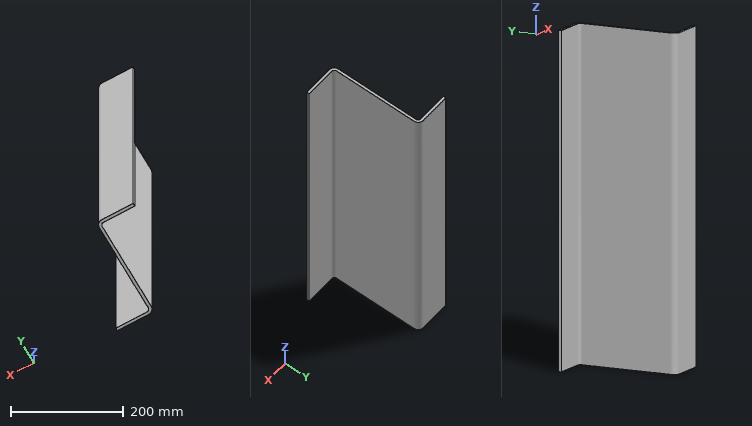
import cadquery as cq

length = 622.0
width = 146.0
depth = 201.0
thickness = 6.0
inner_radius = thickness

outer_radius = inner_radius + thickness
half_width = width / 2
half_depth = depth / 2
half_thickness = thickness / 2

profile = [
    (-half_width, half_depth),
    (half_thickness, half_depth),
    (half_thickness, -half_depth + thickness),
    (half_width, -half_depth + thickness),
    (half_width, -half_depth),
    (-half_thickness, -half_depth),
    (-half_thickness, half_depth - thickness),
    (-half_width, half_depth - thickness),
]
sheet = cq.Workplane("XY").polyline(profile).close().extrude(length)


outer_corners = [(half_thickness, half_depth), (-half_thickness, -half_depth)]
inner_corners = [
    (half_thickness, -half_depth + thickness),
    (-half_thickness, half_depth - thickness),
]


def round_corners(body, corners, radius):
    """Fillet the vertical edge standing at each corner."""
    for x, y in corners:
        nearest = cq.selectors.NearestToPointSelector((x, y, length / 2))
        body = body.edges("|Z").edges(nearest).fillet(radius)
    return body


sheet = round_corners(sheet, outer_corners, outer_radius)
result = round_corners(sheet, inner_corners, inner_radius)